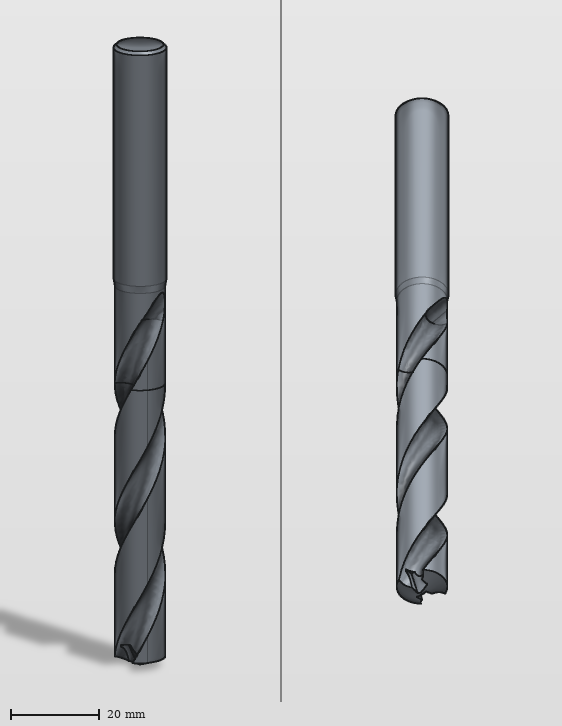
import cadquery as cq
import math

total_length = 146.0
shank_diameter = 12.0
drill_diameter = 11.4
point_angle = 140.0
cutting_length = 66.3
collar_bottom = 89.2
collar_top = 91.0
top_chamfer = 0.7

flute_count = 2
flute_pitch = 64.8
flute_radius = 3.2
flute_offset = 5.3
flute_angle = 195.0
helix_top = 81.8
runout_height = 6.7
runout_turn = 28.0
flute_overrun = 1.5

gash_height = 5.0
gash_near = 0.3
gash_far = 2.5
gash_depth = 4.4
gash_left = -0.9
gash_right = 2.3
gash_turn = 10.0

drill_radius = drill_diameter / 2
shank_radius = shank_diameter / 2
point_height = drill_radius / math.tan(math.radians(point_angle / 2))


def flute_circle(distance, angle, height):
    """Horizontal flute section, given by the polar place of its centre."""
    turn = math.radians(angle)
    centre = cq.Vector(distance * math.cos(turn), distance * math.sin(turn), height)
    return cq.Wire.makeCircle(flute_radius, centre, cq.Vector(0, 0, 1))


def helical_flute(angle):
    """Twisted cut from below the tip up to the end of the helix."""
    length = helix_top + flute_overrun
    twist = 360 * length / flute_pitch
    section = flute_circle(flute_offset, angle - twist, -flute_overrun)
    return cq.Solid.extrudeLinearWithRotation(
        section, [], cq.Vector(0, 0, -flute_overrun), cq.Vector(0, 0, length), twist
    )


def flute_runout(angle):
    """Straight continuation of the flute that climbs out of the drill body."""
    start = flute_circle(flute_offset, angle, helix_top)
    end = flute_circle(drill_radius + flute_radius, angle + runout_turn, helix_top + runout_height)
    return cq.Solid.makeLoft([start, end], True)


def cut_flutes(body):
    for index in range(flute_count):
        angle = flute_angle + index * 360 / flute_count
        body = body.cut(cq.Workplane(helical_flute(angle))).cut(cq.Workplane(flute_runout(angle)))
    return body


def cut_gashes(body):
    gash = (
        cq.Workplane("YZ", origin=(gash_left, 0, 0))
        .moveTo(-gash_near, 0)
        .lineTo(-gash_far, gash_height)
        .lineTo(-gash_depth, gash_height)
        .lineTo(-gash_depth, 0)
        .close()
        .extrude(gash_right - gash_left)
    )
    for index in range(flute_count):
        angle = gash_turn + index * 360 / flute_count
        body = body.cut(gash.rotate((0, 0, 0), (0, 0, 1), angle))
    return body


def make_cutting_head():
    profile = (
        cq.Workplane("XZ")
        .lineTo(drill_radius, point_height)
        .lineTo(drill_radius, cutting_length)
        .lineTo(0, cutting_length)
        .close()
    )
    return cut_gashes(cut_flutes(profile.revolve(360, (0, 0), (0, 1))))


def make_shank_body():
    profile = (
        cq.Workplane("XZ")
        .moveTo(0, cutting_length)
        .lineTo(drill_radius, cutting_length)
        .lineTo(drill_radius, collar_bottom)
        .lineTo(shank_radius, collar_top)
        .lineTo(shank_radius, total_length - top_chamfer)
        .lineTo(shank_radius - top_chamfer, total_length)
        .lineTo(0, total_length)
        .close()
    )
    return cut_flutes(profile.revolve(360, (0, 0), (0, 1)))


cutting_head = make_cutting_head()
shank_body = make_shank_body()
result = cq.Compound.makeCompound([cutting_head.val(), shank_body.val()])